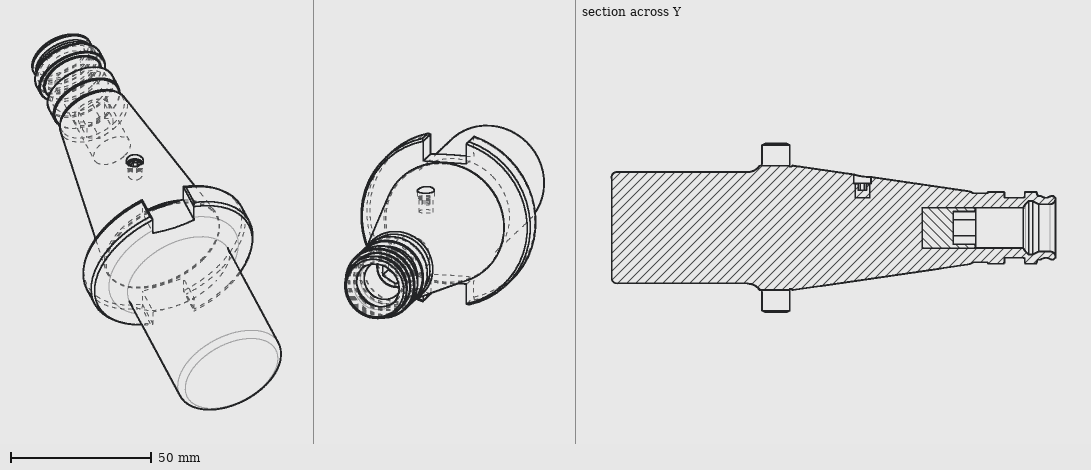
import cadquery as cq
import math

total_length = 158.4
taper_start = 30.5
taper_end = 93.8
flange_front = 94.7
flange_thickness = 10.0
flange_back = flange_front + flange_thickness

rim_radius = 11.4
rim_chamfer = 0.8
rim_front_land_end = 1.6
groove_radius = 10.8
groove_flank_length = 1.5
groove_floor_length = 1.0
groove_floor_start = rim_front_land_end + groove_flank_length
groove_floor_end = groove_floor_start + groove_floor_length
rim_back_land_start = groove_floor_end + groove_flank_length
rim_end = 6.3

collar_radius = 12.8
collar_chamfer = 0.3
front_collar_start = 6.7
front_collar_end = 11.1
back_collar_start = 18.2
back_collar_end = 24.0
neck_radius = 10.8
pilot_radius = 12.4
pilot_end = 29.3

taper_large_radius = 44.5 / 2
taper_radius_slope = 7 / 24 / 2
taper_small_radius = taper_large_radius - (taper_end - taper_start) * taper_radius_slope

relief_radius = 21.9
relief_flank_length = 0.5

flange_radius = 62.5 / 2
flange_chamfer_depth = 0.8
flange_chamfer_length = 1.3
slot_width = 15.8
slot_floor_height = 22.2
slot_corner_chamfer = 0.8

shank_radius = 20.0
shank_root_fillet = 5.0
shank_end_fillet = 2.0

mouth_fillet = 2.0
counterbore_radius = 8.4
counterbore_depth = 6.0
undercut_radius = 9.5
undercut_floor_start = 8.2
undercut_floor_end = 9.7
seat_cone_start = 10.8
seat_cone_length = 0.8
bore_radius = 7.1
bore_screw_face = 28.5
bore_screw_length = 19.0
bore_screw_chamfer = 0.3
bore_screw_socket_flats = 10.0
bore_screw_socket_depth = 7.9
bore_end = bore_screw_face + bore_screw_length

cross_hole_x = 68.9
cross_hole_radius = 3.0
set_screw_radius = 2.5
set_screw_top = 15.8
set_screw_length = 5.0
set_screw_chamfer = 0.4
set_screw_socket_flats = 2.5
set_screw_socket_depth = 2.4
set_screw_bottom = set_screw_top - set_screw_length


def hexagon_diameter(across_flats):
    """Corner to corner size of a regular hexagon."""
    return across_flats / math.cos(math.pi / 6)


def arc_middle(centre, radius, degrees):
    """Point on a fillet arc in the X-radius half plane."""
    angle = math.radians(degrees)
    return (centre[0] + radius * math.cos(angle), centre[1] + radius * math.sin(angle))


def turned_holder():
    """Outside of the holder, revolved about the X axis."""
    chamfered_flange_radius = flange_radius - flange_chamfer_depth
    root_centre = (flange_back + shank_root_fillet, shank_radius + shank_root_fillet)
    end_centre = (total_length - shank_end_fillet, shank_radius - shank_end_fillet)
    profile = (
        cq.Workplane("XZ")
        .moveTo(0, 0)
        .lineTo(0, rim_radius - rim_chamfer)
        .lineTo(rim_chamfer, rim_radius)
        .lineTo(rim_front_land_end, rim_radius)
        .lineTo(groove_floor_start, groove_radius)
        .lineTo(groove_floor_end, groove_radius)
        .lineTo(rim_back_land_start, rim_radius)
        .lineTo(rim_end, rim_radius)
        .lineTo(front_collar_start, collar_radius - collar_chamfer)
        .lineTo(front_collar_start + collar_chamfer, collar_radius)
        .lineTo(front_collar_end - collar_chamfer, collar_radius)
        .lineTo(front_collar_end, collar_radius - collar_chamfer)
        .lineTo(front_collar_end, neck_radius + collar_chamfer)
        .lineTo(front_collar_end + collar_chamfer, neck_radius)
        .lineTo(back_collar_start, neck_radius)
        .lineTo(back_collar_start, collar_radius - collar_chamfer)
        .lineTo(back_collar_start + collar_chamfer, collar_radius)
        .lineTo(back_collar_end, collar_radius)
        .lineTo(back_collar_end + collar_chamfer, pilot_radius)
        .lineTo(pilot_end, pilot_radius)
        .lineTo(taper_start, taper_small_radius)
        .lineTo(taper_end, taper_large_radius)
        .lineTo(taper_end + relief_flank_length, relief_radius)
        .lineTo(flange_front, relief_radius)
        .lineTo(flange_front, chamfered_flange_radius)
        .lineTo(flange_front + flange_chamfer_length, flange_radius)
        .lineTo(flange_back - flange_chamfer_length, flange_radius)
        .lineTo(flange_back, chamfered_flange_radius)
        .lineTo(flange_back, root_centre[1])
        .threePointArc(arc_middle(root_centre, shank_root_fillet, 225), (root_centre[0], shank_radius))
        .lineTo(end_centre[0], shank_radius)
        .threePointArc(arc_middle(end_centre, shank_end_fillet, 45), (total_length, end_centre[1]))
        .lineTo(total_length, 0)
        .close()
    )
    return profile.revolve(360, (0, 0, 0), (1, 0, 0))


def drive_slot():
    """Cutter for the upper drive slot, flaring at the flange rim to bevel the slot corners."""
    half_width = slot_width / 2
    rim_height = math.sqrt(flange_radius**2 - half_width**2)
    bevel_height = rim_height - slot_corner_chamfer
    cutter_height = flange_radius + slot_corner_chamfer
    flared_half_width = half_width + cutter_height - bevel_height
    cutter_length = flange_thickness + shank_root_fillet
    return (
        cq.Workplane("YZ", origin=(taper_end, 0, 0))
        .moveTo(-half_width, slot_floor_height)
        .lineTo(half_width, slot_floor_height)
        .lineTo(half_width, bevel_height)
        .lineTo(flared_half_width, cutter_height)
        .lineTo(-flared_half_width, cutter_height)
        .lineTo(-half_width, bevel_height)
        .close()
        .extrude(cutter_length)
    )


def axial_bore():
    """Rounded mouth, counterbore, undercut, seat cone and blind bore that holds the socket screw."""
    mouth_radius = counterbore_radius + mouth_fillet
    fillet_middle = arc_middle((mouth_fillet, mouth_radius), mouth_fillet, 225)
    return (
        cq.Workplane("XZ")
        .moveTo(0, 0)
        .lineTo(0, mouth_radius)
        .threePointArc(fillet_middle, (mouth_fillet, counterbore_radius))
        .lineTo(counterbore_depth, counterbore_radius)
        .lineTo(undercut_floor_start, undercut_radius)
        .lineTo(undercut_floor_end, undercut_radius)
        .lineTo(seat_cone_start, counterbore_radius)
        .lineTo(seat_cone_start + seat_cone_length, bore_radius)
        .lineTo(bore_end, bore_radius)
        .lineTo(bore_end, 0)
        .close()
        .revolve(360, (0, 0, 0), (1, 0, 0))
    )


def cross_hole():
    """Stepped blind hole from the top of the taper; its narrow part holds the set screw."""
    wide_part = (
        cq.Workplane("XY", origin=(cross_hole_x, 0, set_screw_top))
        .circle(cross_hole_radius)
        .extrude(taper_large_radius - set_screw_top)
    )
    narrow_part = (
        cq.Workplane("XY", origin=(cross_hole_x, 0, set_screw_bottom))
        .circle(set_screw_radius)
        .extrude(set_screw_length)
    )
    return wide_part.union(narrow_part)


def make_holder():
    upper_slot = drive_slot()
    lower_slot = upper_slot.mirror("XY")
    return turned_holder().cut(upper_slot).cut(lower_slot).cut(axial_bore()).cut(cross_hole())


def make_bore_screw():
    """Headless socket screw on the X axis, with two socket corners pointing along Z."""
    body = (
        cq.Workplane("YZ", origin=(bore_screw_face, 0, 0))
        .circle(bore_radius)
        .extrude(bore_screw_length)
        .faces("<X")
        .chamfer(bore_screw_chamfer)
    )
    socket = (
        cq.Workplane("YZ", origin=(bore_screw_face, 0, 0))
        .transformed(rotate=(0, 0, 90))
        .polygon(6, hexagon_diameter(bore_screw_socket_flats))
        .extrude(bore_screw_socket_depth)
    )
    return body.cut(socket)


def make_set_screw():
    """Small socket set screw along Z, with two socket flats facing along Y."""
    body = (
        cq.Workplane("XY", origin=(cross_hole_x, 0, set_screw_bottom))
        .circle(set_screw_radius)
        .extrude(set_screw_length)
        .faces(">Z")
        .chamfer(set_screw_chamfer)
    )
    socket = (
        cq.Workplane("XY", origin=(cross_hole_x, 0, set_screw_top - set_screw_socket_depth))
        .polygon(6, hexagon_diameter(set_screw_socket_flats))
        .extrude(set_screw_socket_depth)
    )
    return body.cut(socket)


holder = make_holder()
bore_screw = make_bore_screw()
set_screw = make_set_screw()

result = cq.Compound.makeCompound([holder.val(), bore_screw.val(), set_screw.val()])